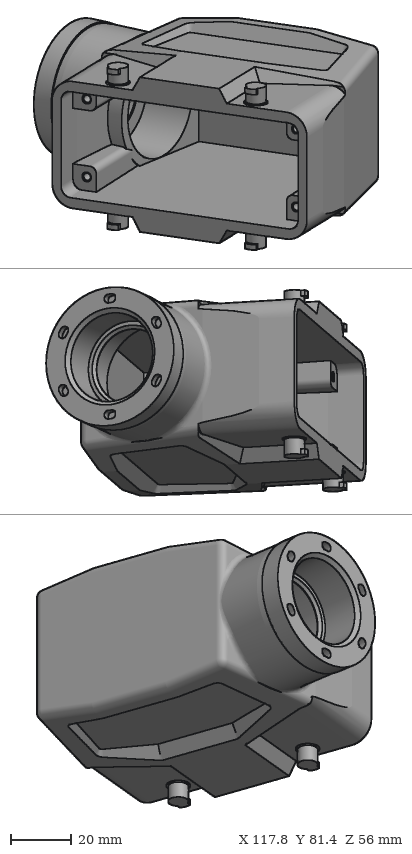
import cadquery as cq
import math


overall_length = 117.8
overall_depth = 81.4

mouth_half_width = 47.0
straight_depth = 12.1
ledge_y = 32.0
ledge_half_width = 45.2
body_depth = 76.4
back_half_width = 37.0
side_wall = 3.3
side_lean = (ledge_half_width - back_half_width) / (body_depth - ledge_y)
lower_depth = 33.6
rim_half_height = 44.2 / 2
rim_radius = 7.7

roof_half_height = 53.8 / 2
crest_half_width = 14.6
roof_angle = 7.9
hood_fillet = 3.0

flank_angle = 30
flat_inner_y = 27.2
flat_outer_x = 40.3
flat_outer_y = 36.4

window_floor = rim_half_height
window_taper = 30
window_top_y = 66.4
window_top_half_width = 28.5
window_side_y = 42.2
window_side_half_width = 33.0
window_bottom_y = 35.2
window_corner = 1.0

cavity_half_height = 36.9 / 2
cavity_back_half_height = 17.7
cavity_depth = 72.9
cavity_back_half_width = 34.0
cavity_corner = 3.5

post_front_y = 9.1
post_inner_x = 35.1
post_inner_z = 9.7
post_corner = 2.4
post_hole_x = 38.6
post_hole_z = 13.5
post_hole_radius = 1.3
post_hole_depth = 11.8
post_hole_chamfer = 0.4

pin_x = 25.4
pin_y = 5.7
pin_radius = 3.4
pin_tip_z = 56.0 / 2
pin_root = 0.6
pin_root_height = 0.4
pin_embedding = 1.2
lug_radius = 4.6
lug_width = 4.1
lug_height = 1.9

nozzle_tilt = 11
tilt = math.radians(nozzle_tilt)
collar_radius = 23.5
nozzle_face_x = mouth_half_width - overall_length + collar_radius * math.sin(tilt)
nozzle_face_y = overall_depth - collar_radius * math.cos(tilt)
collar_length = 7.2
groove_width = 2.6
groove_depth = 0.5
nozzle_radius = 23.3
nozzle_length = 34.7
boss_radius = 21.2
root_fillet = 1.8
wall_distance = 26.7
entry_radius = 15.1
entry_chamfer = 1.4
entry_depth = 14.8
neck_radius = 12.6
neck_chamfer = 1.1
neck_end = 16.1
inner_bore_radius = 17.8
face_slots = 6
face_slot_circle = 19.8
face_slot_length = 4.1
face_slot_width = 3.0
face_slot_depth = 3.0

overshoot = 11.8


def both_sides(solid):
    """A shape together with its mirror image across Z = 0."""
    return solid.union(solid.mirror("XY"))


def slab(points, half_height):
    """A symmetric slab from an outline in the XY plane."""
    return cq.Workplane("XY").polyline(points).close().extrude(half_height, both=True)


def mirrored_outline(right_points):
    """Close an outline given along +X by its mirror image across X = 0."""
    return right_points + [(-x, y) for x, y in reversed(right_points)]


def rounded_prism(half_width, half_height, depth, corner):
    """A bar running back from the mouth plane with rounded long edges."""
    section = cq.Workplane("XZ").rect(2 * half_width, 2 * half_height)
    return section.extrude(-depth).edges("|Y").fillet(corner)


def lower_body():
    """Round-cornered front part, with side walls leaning in behind the straight stretch."""
    outline = mirrored_outline([
        (mouth_half_width, 0),
        (mouth_half_width, straight_depth),
        (ledge_half_width, ledge_y),
        (ledge_half_width - side_lean * (lower_depth - ledge_y), lower_depth),
    ])
    rounded = rounded_prism(mouth_half_width, rim_half_height, lower_depth, rim_radius)
    return rounded.intersect(slab(outline, roof_half_height))


def upper_body():
    """Roofed body narrowing toward the back, with rounded side and back edges."""
    front_half_width = ledge_half_width + side_lean * ledge_y
    fall = (front_half_width - crest_half_width) * math.tan(math.radians(roof_angle))
    eave = roof_half_height - fall
    outline = mirrored_outline([(front_half_width, 0), (back_half_width, body_depth)])
    roof = (
        cq.Workplane("XZ")
        .moveTo(front_half_width, -eave)
        .lineTo(front_half_width, eave)
        .lineTo(crest_half_width, roof_half_height)
        .lineTo(-crest_half_width, roof_half_height)
        .lineTo(-front_half_width, eave)
        .lineTo(-front_half_width, -eave)
        .lineTo(-crest_half_width, -roof_half_height)
        .lineTo(crest_half_width, -roof_half_height)
        .close()
        .extrude(-body_depth)
    )
    block = roof.intersect(slab(outline, roof_half_height))
    sides = block.faces("<X or >X or >Y").edges("not <Y")
    return sides.fillet(hood_fillet)


def side_flats():
    """Material removed above the rim, leaving the middle tab with leaning flanks."""
    outer_x = mouth_half_width + overshoot
    right = (
        cq.Workplane("XY", origin=(0, 0, roof_half_height))
        .moveTo(crest_half_width, -overshoot)
        .lineTo(crest_half_width, flat_inner_y)
        .lineTo(flat_outer_x, flat_outer_y)
        .lineTo(outer_x, flat_outer_y)
        .lineTo(outer_x, -overshoot)
        .close()
        .extrude(rim_half_height - roof_half_height, taper=flank_angle)
    )
    return both_sides(right.union(right.mirror("YZ")))


def front_clearance():
    """Space below the rim that the upper body leaves to the lower body."""
    width = 2 * (mouth_half_width + overshoot)
    height = 2 * rim_half_height
    return cq.Workplane("XY").box(width, lower_depth, height, centered=(True, False, True))


def windows():
    """Shallow recess with leaning walls, one in each roof."""
    outline = mirrored_outline([
        (crest_half_width, window_bottom_y),
        (window_side_half_width, window_side_y),
        (window_top_half_width, window_top_y),
    ])
    floor = cq.Sketch().polygon(outline + outline[:1]).vertices(">Y or <X or >X").fillet(window_corner)
    recess = (
        cq.Workplane("XY", origin=(0, 0, window_floor))
        .placeSketch(floor)
        .extrude(roof_half_height - window_floor, taper=-window_taper)
    )
    return both_sides(recess)


def cavity():
    """Inner space, open at the mouth and slightly drafted in height."""
    front_half_width = mouth_half_width - side_wall
    outline = mirrored_outline([
        (front_half_width, 0),
        (front_half_width, straight_depth),
        (ledge_half_width - side_wall, ledge_y),
        (cavity_back_half_width, cavity_depth),
    ])
    draft = (
        cq.Workplane("YZ")
        .moveTo(0, -cavity_half_height)
        .lineTo(cavity_depth, -cavity_back_half_height)
        .lineTo(cavity_depth, cavity_back_half_height)
        .lineTo(0, cavity_half_height)
        .close()
        .extrude(mouth_half_width, both=True)
    )
    rounded = rounded_prism(front_half_width, cavity_half_height, cavity_depth, cavity_corner)
    return rounded.intersect(slab(outline, cavity_half_height)).intersect(draft)


def posts():
    """Four corner posts, overlapping the walls so they can be trimmed to the cavity."""
    width = mouth_half_width - post_inner_x
    height = cavity_half_height - post_inner_z
    post = (
        cq.Workplane("XY")
        .box(width, body_depth - post_front_y, height, centered=False)
        .edges("|Y and <X and <Z")
        .fillet(post_corner)
        .translate((post_inner_x, post_front_y, post_inner_z))
    )
    right = both_sides(post)
    return right.union(right.mirror("YZ"))


def post_holes():
    """Blind screw holes with chamfered mouths in the post ends."""
    rim = post_hole_radius + post_hole_chamfer
    hole = (
        cq.Workplane("XY", origin=(0, post_front_y, 0))
        .polyline([
            (0, 0),
            (rim, 0),
            (post_hole_radius, post_hole_chamfer),
            (post_hole_radius, post_hole_depth),
            (0, post_hole_depth),
        ])
        .close()
        .revolve(360, (0, 0), (0, 1))
    )
    right = both_sides(hole.translate((post_hole_x, 0, post_hole_z)))
    return right.union(right.mirror("YZ"))


def pin():
    """A pin rooted in the wall, with a locking lug at its tip facing the mouth."""
    pin_bottom_z = cavity_half_height + pin_embedding
    root_z = rim_half_height + pin_root_height
    pin_solid = (
        cq.Workplane("XZ")
        .moveTo(0, pin_bottom_z)
        .lineTo(pin_radius + pin_root, pin_bottom_z)
        .lineTo(pin_radius + pin_root, rim_half_height)
        .lineTo(pin_radius, root_z)
        .lineTo(pin_radius, pin_tip_z)
        .lineTo(0, pin_tip_z)
        .close()
        .revolve(360, (0, 0), (0, 1))
    )
    lug_base = cq.Workplane("XY", origin=(0, 0, pin_tip_z - lug_height))
    lug_disc = lug_base.circle(lug_radius).extrude(lug_height)
    lug_bar = lug_base.center(0, -lug_radius / 2).rect(lug_width, lug_radius).extrude(lug_height)
    return pin_solid.union(lug_disc.intersect(lug_bar))


nozzle_frame = cq.Plane(
    origin=(nozzle_face_x, nozzle_face_y, 0),
    xDir=(math.sin(tilt), math.cos(tilt), 0),
    normal=(math.cos(tilt), -math.sin(tilt), 0),
)


def place(solid):
    """Move a shape drawn about the global Z axis onto the nozzle axis."""
    return cq.Workplane(solid.val().moved(cq.Location(nozzle_frame)))


def turned(points):
    """Revolve a (radius, axial position) profile about the nozzle axis."""
    profile = cq.Workplane("XZ").polyline(points).close()
    return place(profile.revolve(360, (0, 0), (0, 1)))


def nozzle_outside():
    """Collar, groove and body of the nozzle."""
    groove_end = collar_length + groove_width
    return turned([
        (0, 0),
        (collar_radius, 0),
        (collar_radius, collar_length),
        (collar_radius - groove_depth, collar_length),
        (nozzle_radius, groove_end),
        (nozzle_radius, wall_distance),
        (0, wall_distance),
    ])


def nozzle_root_edges(body):
    """Edges where the nozzle meets the side wall, clear of the rounded roof edges."""
    found = []
    tolerance = 0.01
    for edge in body.edges().vals():
        points = [nozzle_frame.toLocalCoords(edge.positionAt(t)) for t in (0, 0.25, 0.5, 0.75, 1)]
        on_nozzle = all(abs(math.hypot(p.x, p.y) - nozzle_radius) < tolerance for p in points)
        past_groove = all(p.z > (collar_length + wall_distance) / 2 for p in points)
        below_roof = all(abs(p.y) < rim_half_height for p in points)
        if on_nozzle and past_groove and below_roof and edge.Center().y < body_depth - hood_fillet:
            found.append(edge)
    return found


def nozzle_boss():
    """Round boss inside the cavity, squared off toward the back wall."""
    length = nozzle_length - wall_distance
    boss = cq.Workplane("XY", origin=(0, 0, wall_distance)).circle(boss_radius).extrude(length)
    web = (
        cq.Workplane("XY", origin=(0, 0, wall_distance))
        .center(boss_radius, 0)
        .rect(2 * boss_radius, 2 * boss_radius)
        .extrude(length)
    )
    return place(boss.union(web))


def nozzle_bore():
    """Chamfered entry, narrow neck and wide inner bore."""
    return turned([
        (0, 0),
        (entry_radius + entry_chamfer, 0),
        (entry_radius, entry_chamfer),
        (entry_radius, entry_depth),
        (neck_radius + neck_chamfer, entry_depth),
        (neck_radius, entry_depth + neck_chamfer),
        (neck_radius, neck_end),
        (inner_bore_radius, neck_end),
        (inner_bore_radius, nozzle_length),
        (0, nozzle_length),
    ])


def nozzle_face_slots():
    """Ring of short blind slots in the outer face."""
    slots = (
        cq.Workplane("XY")
        .polarArray(face_slot_circle, 90, 360, face_slots)
        .slot2D(face_slot_length, face_slot_width, 90)
        .extrude(face_slot_depth)
    )
    return place(slots)


shell = upper_body().cut(side_flats()).cut(front_clearance()).union(lower_body())
shell = shell.cut(windows()).union(nozzle_outside())
shell = cq.Workplane(shell.val().fillet(root_fillet, nozzle_root_edges(shell)))

space = cavity()
fittings = nozzle_boss().union(posts()).intersect(space)
shell = shell.cut(space).union(fittings)
shell = shell.cut(post_holes()).cut(nozzle_bore()).cut(nozzle_face_slots())

for x in (-pin_x, pin_x):
    shell = shell.union(both_sides(pin().translate((x, pin_y, 0))))

result = shell